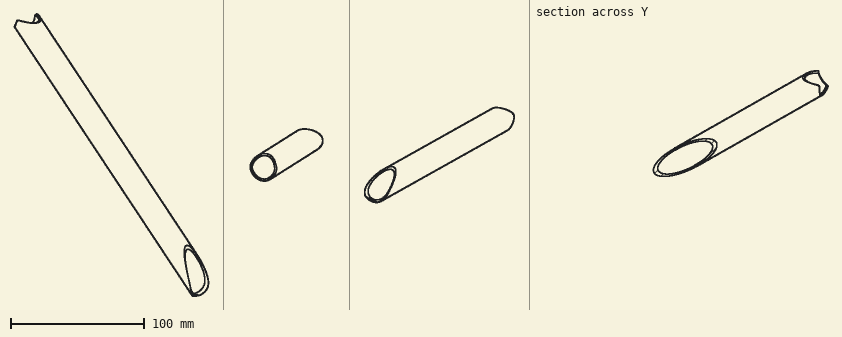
import cadquery as cq

brace_diameter = 20.0
brace_wall = 1.5
member_diameter = 25.0
member_length = 118.9

upper_node = cq.Vector(-104.5, -42.6, 74.0)
lower_node = cq.Vector(104.0, 44.2, -68.4)

upper_members = [
    cq.Vector(0.75, 0.51, 0.42),
    cq.Vector(0.36, -0.46, 0.81),
    cq.Vector(-0.25, 0.95, 0.2),
]
lower_members = [
    cq.Vector(-0.48, -0.07, 0.88),
    cq.Vector(-0.34, 0.62, 0.71),
]


def brace_tube():
    """Straight hollow tube running from node to node."""
    axis = lower_node - upper_node
    outer_radius = brace_diameter / 2
    bore_radius = outer_radius - brace_wall
    outside = cq.Solid.makeCylinder(outer_radius, axis.Length, upper_node, axis)
    bore = cq.Solid.makeCylinder(bore_radius, axis.Length, upper_node, axis)
    return cq.Workplane(obj=outside.cut(bore))


def frame_member(node, direction):
    """Solid cylinder centred on a node, with the outside diameter of a frame member."""
    start = node - direction.normalized() * (member_length / 2)
    return cq.Solid.makeCylinder(member_diameter / 2, member_length, start, direction)


def cope(tube, node, directions):
    """Cut away the stretch of tube that lies inside the members at a node."""
    for direction in directions:
        tube = tube.cut(cq.Workplane(obj=frame_member(node, direction)))
    return tube


brace = cope(brace_tube(), upper_node, upper_members)
brace = cope(brace, lower_node, lower_members)

result = cq.Workplane(obj=max(brace.solids().vals(), key=lambda solid: solid.Volume()))